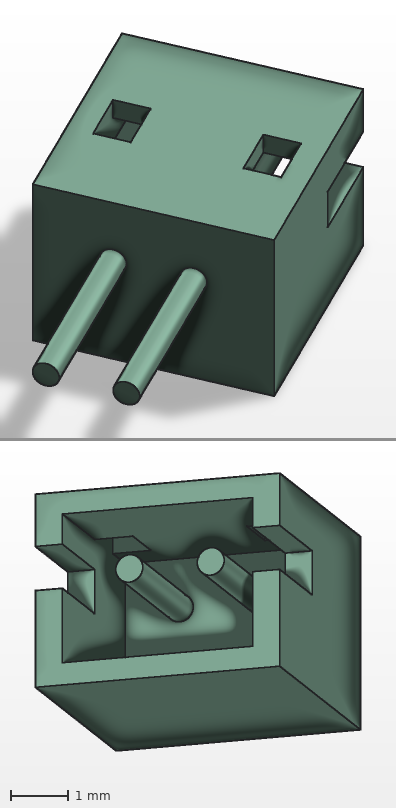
import cadquery as cq

body_width = 4.5
body_depth = 4.5
body_height = 3.5

side_wall = 0.5
roof_thickness = 0.4
floor_thickness = roof_thickness
front_wall = 1.0
cavity_depth = body_depth - front_wall

slot_depth = 1.8
slot_height = 0.8
slot_bottom = 1.75

window_width = 0.7
window_length = 1.0
window_back_margin = slot_depth

pin_diameter = 0.5
pin_spacing = 1.5
pin_height = 2.205
pin_front_length = 3.4
pin_back_margin = 0.695

body = cq.Workplane("XY").box(body_width, body_depth, body_height, centered=(True, False, False))

cavity_width = body_width - 2 * side_wall
cavity_height = body_height - roof_thickness - floor_thickness
cavity = (
    cq.Workplane("XY")
    .box(cavity_width, cavity_depth, cavity_height, centered=(True, False, False))
    .translate((0, body_depth - cavity_depth, floor_thickness))
)
body = body.cut(cavity)

slot = (
    cq.Workplane("XY")
    .box(body_width, slot_depth, slot_height, centered=(True, False, False))
    .translate((0, body_depth - slot_depth, slot_bottom))
)
body = body.cut(slot)

window_x = (cavity_width - window_width) / 2
window_y = body_depth - window_back_margin - window_length / 2
for side in (-1, 1):
    window = (
        cq.Workplane("XY", origin=(0, 0, body_height))
        .center(side * window_x, window_y)
        .rect(window_width, window_length)
        .extrude(-roof_thickness)
    )
    body = body.cut(window)

pin_length = pin_front_length + body_depth - pin_back_margin
for side in (-1, 1):
    pin = (
        cq.Workplane("XZ", origin=(side * pin_spacing / 2, -pin_front_length, pin_height))
        .circle(pin_diameter / 2)
        .extrude(-pin_length)
    )
    body = body.union(pin)

result = body